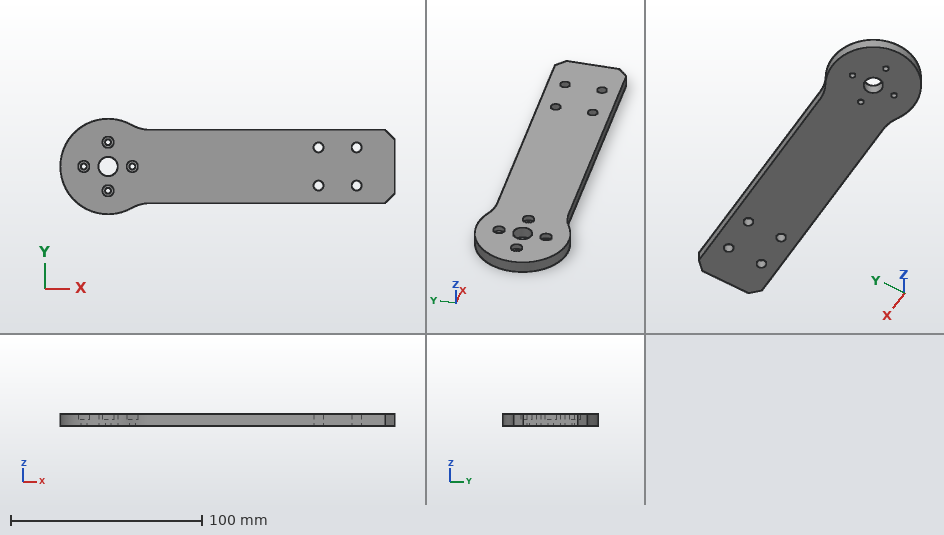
import cadquery as cq
import math

length = 175.0
thickness = 6.5
head_diameter = 50.0
arm_width = 38.5
neck_radius = 20.0
tip_chamfer = 5.0

bore_diameter = 10.0
screw_circle_diameter = 25.4
screw_count = 4
screw_diameter = 3.0
counterbore_diameter = 6.0
counterbore_depth = 3.0

mount_diameter = 5.0
mount_pitch = 20.0
mount_tip_distance = 20.0

head_radius = head_diameter / 2
tip_x = length - head_radius
half_width = arm_width / 2


def plate():
    """Round head blended into a straight arm by a concave arc on each side."""
    blend_y = half_width + neck_radius
    blend_distance = head_radius + neck_radius
    blend_x = math.sqrt(blend_distance**2 - blend_y**2)
    head_end_x = blend_x * head_radius / blend_distance
    head_end_y = blend_y * head_radius / blend_distance

    start_angle = math.atan2(-blend_y, -blend_x)
    middle_angle = (start_angle - math.pi / 2) / 2
    middle_x = blend_x + neck_radius * math.cos(middle_angle)
    middle_y = blend_y + neck_radius * math.sin(middle_angle)

    return (
        cq.Workplane("XY")
        .moveTo(head_end_x, -head_end_y)
        .threePointArc((-head_radius, 0), (head_end_x, head_end_y))
        .threePointArc((middle_x, middle_y), (blend_x, half_width))
        .lineTo(tip_x - tip_chamfer, half_width)
        .lineTo(tip_x, half_width - tip_chamfer)
        .lineTo(tip_x, tip_chamfer - half_width)
        .lineTo(tip_x - tip_chamfer, -half_width)
        .lineTo(blend_x, -half_width)
        .threePointArc((middle_x, -middle_y), (head_end_x, -head_end_y))
        .close()
        .extrude(thickness)
    )


def cut_head_holes(body):
    """Central bore ringed by counterbored screw holes."""
    body = body.cut(cq.Workplane("XY").circle(bore_diameter / 2).extrude(thickness))
    return (
        body.faces(">Z")
        .workplane(origin=(0, 0, thickness))
        .polarArray(screw_circle_diameter / 2, 0, 360, screw_count)
        .cboreHole(screw_diameter, counterbore_diameter, counterbore_depth)
    )


def cut_mount_holes(body):
    """Square pattern of through holes near the tip."""
    pattern_x = tip_x - mount_tip_distance - mount_pitch / 2
    return (
        body.faces(">Z")
        .workplane(origin=(pattern_x, 0, thickness))
        .rarray(mount_pitch, mount_pitch, 2, 2)
        .hole(mount_diameter)
    )


result = cut_mount_holes(cut_head_holes(plate()))